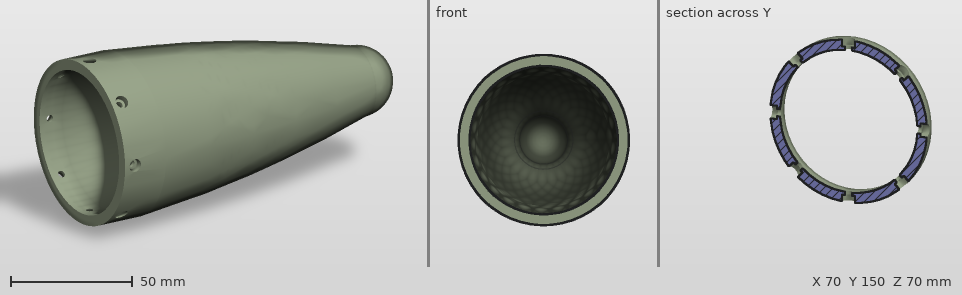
import cadquery as cq
import math

length = 150.0
base_radius = 70.0 / 2
bore_radius = 61.0 / 2
collar_length = 20.0
tip_radius = 15.0
middle_bulge = 2.8

cavity_end_radius = 12.0
tip_cavity_radius = 9.9
cavity_shift = 9.0

hole_count = 8
hole_diameter = 3.0
counterbore_diameter = 5.5
counterbore_depth = 3.0
hole_offset = 5.0

hole_overrun = 1.5

base_y = -length / 2
collar_end_y = base_y + collar_length
tip_center_y = length / 2 - tip_radius
flank_middle_y = (collar_end_y + tip_center_y) / 2


def revolved_body(start_radius, end_radius, cap_radius, flank_shift=0):
    """Straight base, bowed flank and hemispherical cap revolved about the Y axis.

    The flank is moved toward the base by flank_shift, and a cone joins it to the cap.
    """
    middle_radius = (start_radius + end_radius) / 2 + middle_bulge
    cap_diagonal = cap_radius * math.sqrt(0.5)
    profile = (
        cq.Workplane("XY")
        .moveTo(0, base_y)
        .lineTo(start_radius, base_y)
        .lineTo(start_radius, collar_end_y - flank_shift)
        .threePointArc(
            (middle_radius, flank_middle_y - flank_shift),
            (end_radius, tip_center_y - flank_shift),
        )
    )
    if flank_shift > 0:
        profile = profile.lineTo(cap_radius, tip_center_y)
    return (
        profile
        .threePointArc((cap_diagonal, tip_center_y + cap_diagonal), (0, tip_center_y + cap_radius))
        .close()
        .revolve(360, (0, 0, 0), (0, 1, 0))
    )


def radial_cylinder(diameter, inner_radius, angle):
    """Cylinder pointing outward from the Y axis, running past the collar surface."""
    outer_radius = base_radius + hole_overrun
    cylinder = (
        cq.Workplane("XY")
        .workplane(offset=inner_radius)
        .center(0, base_y + hole_offset)
        .circle(diameter / 2)
        .extrude(outer_radius - inner_radius)
    )
    return cylinder.rotate((0, 0, 0), (0, 1, 0), angle)


outer_body = revolved_body(base_radius, tip_radius, tip_radius)
cavity = revolved_body(bore_radius, cavity_end_radius, tip_cavity_radius, cavity_shift)
result = outer_body.cut(cavity)

for index in range(hole_count):
    hole_angle = index * 360 / hole_count
    result = result.cut(radial_cylinder(hole_diameter, bore_radius - hole_overrun, hole_angle))
    result = result.cut(
        radial_cylinder(counterbore_diameter, base_radius - counterbore_depth, hole_angle)
    )